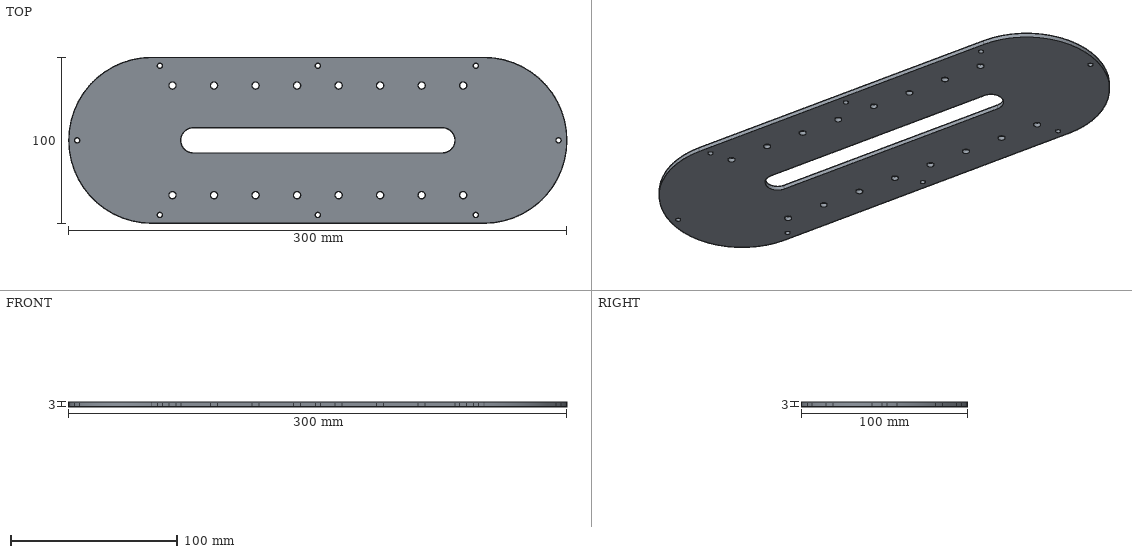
import cadquery as cq

length = 300.0
width = length / 3
thickness = 3.0

slot_length = 165.0
slot_width = 15.0

row_hole_diameter = 4.2
row_hole_count = 8
row_hole_pitch = width / 4
row_spacing = 66.0

edge_hole_diameter = 3.0
edge_margin = 5.0
edge_hole_spacing = 95.0

end_hole_x = length / 2 - edge_margin
side_hole_y = width / 2 - edge_margin

edge_hole_points = [(-end_hole_x, 0), (end_hole_x, 0)]
for side in (-1, 1):
    for step in (-1, 0, 1):
        edge_hole_points.append((step * edge_hole_spacing, side * side_hole_y))

plate = cq.Workplane("XY").slot2D(length, width).extrude(thickness)

result = (
    plate.faces(">Z").workplane()
    .slot2D(slot_length, slot_width)
    .cutThruAll()
    .faces(">Z").workplane()
    .rarray(row_hole_pitch, row_spacing, row_hole_count, 2)
    .hole(row_hole_diameter)
    .faces(">Z").workplane()
    .pushPoints(edge_hole_points)
    .hole(edge_hole_diameter)
)